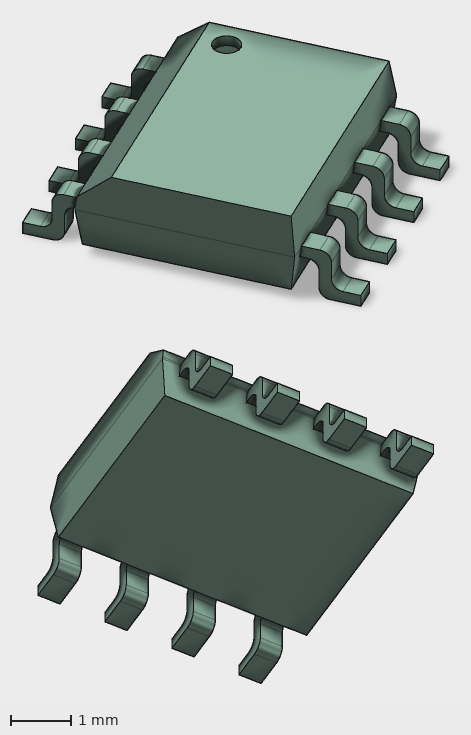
import cadquery as cq
import math

span_x = 6.0
total_height = 1.72
lead_thickness = 0.22
housing_bottom = lead_thickness

housing_x = 3.9
housing_y = 4.9
draft = math.radians(7.5)
half_height = (total_height - housing_bottom) / 2
parting_z = housing_bottom + half_height
draft_inset = half_height * math.tan(draft)

band_height = 0.04
bevel_drop = 0.5
bevel_top_x = -1.34
bevel_low_z = total_height - bevel_drop
bevel_low_inset = (bevel_low_z - parting_z - band_height) * math.tan(draft)

dimple_diameter = 0.5
dimple_depth = 0.2
dimple_x = -0.845
dimple_y = 1.855

lead_count = 4
lead_row_length = 3.81
lead_pitch = lead_row_length / (lead_count - 1)
lead_width = 0.42
lead_shank_x = 2.48
bend_radius = 0.205


def make_lead(y_centre):
    """Bent lead strip, gull-wing shaped at both ends, with its top on the parting plane."""
    tip = span_x / 2
    shank_inner = lead_shank_x - lead_thickness
    right_half = [
        (shank_inner, parting_z - lead_thickness),
        (shank_inner, 0),
        (tip, 0),
        (tip, lead_thickness),
        (lead_shank_x, lead_thickness),
        (lead_shank_x, parting_z),
    ]
    left_half = [(-x, z) for x, z in reversed(right_half)]
    strip = (
        cq.Workplane("XZ", origin=(0, y_centre + lead_width / 2, 0))
        .polyline(right_half + left_half)
        .close()
        .extrude(lead_width)
    )
    bend_edges = strip.edges("|Y").filter(lambda edge: abs(edge.Center().x) < tip - bend_radius)
    return strip.newObject(bend_edges.vals()).fillet(bend_radius)


def make_housing_block():
    """Overlap of the end profile, which carries the bevel, and the drafted side profile."""
    half_x = housing_x / 2
    half_y = housing_y / 2
    end_profile = (
        cq.Workplane("XZ", origin=(0, half_y, 0))
        .polyline([
            (-half_x + draft_inset, housing_bottom),
            (half_x - draft_inset, housing_bottom),
            (half_x, parting_z),
            (half_x - draft_inset, total_height),
            (bevel_top_x, total_height),
            (-half_x + bevel_low_inset, bevel_low_z),
            (-half_x, parting_z + band_height),
            (-half_x, parting_z),
        ])
        .close()
        .extrude(housing_y)
    )
    side_profile = (
        cq.Workplane("YZ", origin=(-half_x, 0, 0))
        .polyline([
            (-half_y + draft_inset, housing_bottom),
            (half_y - draft_inset, housing_bottom),
            (half_y, parting_z),
            (half_y - draft_inset, total_height),
            (-half_y + draft_inset, total_height),
            (-half_y, parting_z),
        ])
        .close()
        .extrude(housing_x)
    )
    return end_profile.intersect(side_profile)


def make_dimple():
    """Blind round cutter for the pin-1 mark."""
    return (
        cq.Workplane("XY", origin=(dimple_x, dimple_y, total_height - dimple_depth))
        .circle(dimple_diameter / 2)
        .extrude(dimple_depth)
    )


def make_lead_tunnel(y_centre):
    """Cutter for the straight passage that holds one lead inside the housing."""
    return (
        cq.Workplane("XY", origin=(0, y_centre, parting_z - lead_thickness))
        .box(housing_x, lead_width, lead_thickness, centered=(True, True, False))
    )


def make_housing(lead_rows):
    """Moulded housing with its dimple and one tunnel for each lead."""
    housing = make_housing_block().cut(make_dimple())
    for y_centre in lead_rows:
        housing = housing.cut(make_lead_tunnel(y_centre))
    return housing


lead_rows = [row * lead_pitch - lead_row_length / 2 for row in range(lead_count)]
housing = make_housing(lead_rows)
leads = [make_lead(y_centre) for y_centre in lead_rows]

result = cq.Compound.makeCompound([housing.val(), *[lead.val() for lead in leads]])